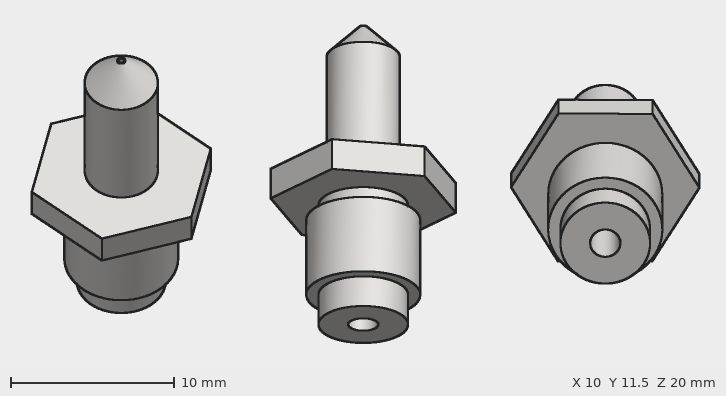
import cadquery as cq
import math

pilot_height = 2.0
body_height = 5.0
neck_height = 1.0
hex_height = 2.0
stem_height = 8.0
cone_height = 2.0

orifice_length = 1.0

neck_diameter = 5.5
body_diameter = 7.0
hex_across_flats = 10.0
hex_sides = 6
hex_half_angle = 180 / hex_sides
stem_diameter = 4.5
tip_diameter = 0.5
orifice_diameter = 0.35
bore_diameter = 1.85

body_bottom = pilot_height
neck_bottom = body_bottom + body_height
hex_bottom = neck_bottom + neck_height
stem_bottom = hex_bottom + hex_height
cone_bottom = stem_bottom + stem_height
total_height = cone_bottom + cone_height
bore_top = total_height - orifice_length


def cylinder(diameter, bottom, height):
    """Upright cylinder on the Z axis."""
    return cq.Workplane("XY").workplane(offset=bottom).circle(diameter / 2).extrude(height)


def hex_flange():
    """Wrench hexagon with flats facing +X and -X and corners on the Y axis."""
    across_corners = hex_across_flats / math.cos(math.radians(hex_half_angle))
    return (
        cq.Workplane("XY")
        .polygon(hex_sides, across_corners)
        .extrude(hex_height)
        .rotate((0, 0, 0), (0, 0, 1), hex_half_angle)
        .translate((0, 0, hex_bottom))
    )


def tip_cone():
    """Cone from the stem diameter to the small flat tip."""
    base_center = cq.Vector(0, 0, cone_bottom)
    cone = cq.Solid.makeCone(stem_diameter / 2, tip_diameter / 2, cone_height, base_center)
    return cq.Workplane("XY").add(cone)


nozzle = (
    cylinder(neck_diameter, 0, pilot_height)
    .union(cylinder(body_diameter, body_bottom, body_height))
    .union(cylinder(neck_diameter, neck_bottom, neck_height))
    .union(hex_flange())
    .union(cylinder(stem_diameter, stem_bottom, stem_height))
    .union(tip_cone())
)

feed_passage = (
    cylinder(bore_diameter, 0, bore_top)
    .union(cylinder(orifice_diameter, bore_top, orifice_length))
)

result = nozzle.cut(feed_passage)